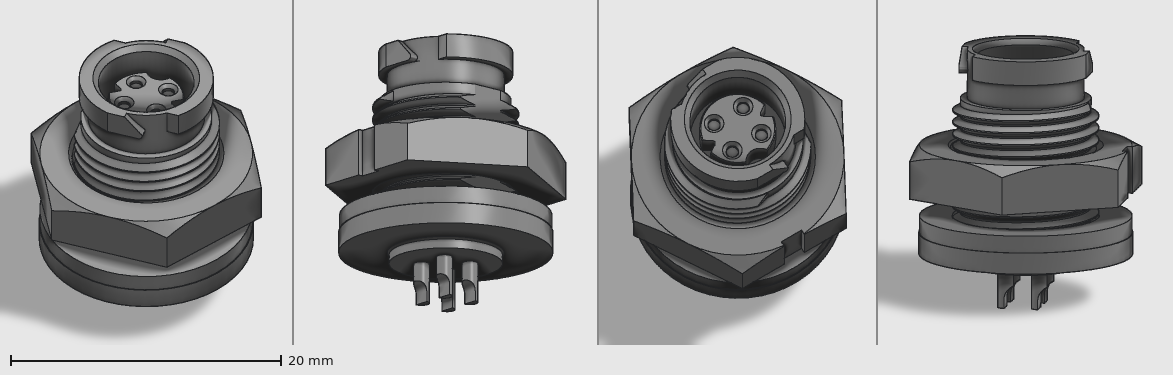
import cadquery as cq
import math

tail_length = 3.02
boss_top_z = 3.70
flange_bottom_z = 3.87
flange_top_z = 5.45
gasket_top_z = 6.72
nut_bottom_z = 8.52
nut_top_z = 12.04
barrel_top_z = 15.60
collar_bottom_z = 17.52
overall_height = 19.30

boss_radius = 4.20
flange_radius = 7.94
barrel_radius = 4.85
neck_radius = 4.335
collar_radius = 4.97
bore_radius = 3.54
mouth_chamfer = 0.41
barrel_flat_x = -4.68
collar_flat_y = 4.80

thread_crest_radius = 5.42
thread_pitch = 25.4 / 28
thread_turns = 10
thread_end_angle = 86
thread_end_z = 15.10
thread_crest_width = 0.10
thread_root_gap = 0.12
thread_embed = 0.06
runout_start_x = 0.42
runout_start_y = 4.84
runout_angle = 19
runout_length = 2.5

slot_ramp_top_x = 0.06
slot_tip_radius = 0.29
slot_end_y = 3.27
slot_end_x = 3.90
slot_reach = 6.0

bore_floor_z = barrel_top_z
insert_face_z = 17.55
insert_radius = 2.82
insert_chamfer = 0.09
key_radius = 1.06
key_center_y = 3.13
side_notch_tip_x = 1.86
side_notch_edge_x = 2.78
side_notch_half_width = 0.64
side_notch_fillet = 0.20
contact_offset = 1.27
contact_signs = [(-1, -1), (-1, 1), (1, -1), (1, 1)]
contact_points = [(i * contact_offset, j * contact_offset) for i, j in contact_signs]
socket_radius = 0.455
socket_rim_radius = 0.72
socket_depth = 0.50

tail_radius = 0.59
tail_scoop_radius = 0.95
tail_scoop_z = 0.71

gasket_radius = 7.88
gasket_hole_radius = 5.45
nut_across_corners = 18.18
nut_across_flats = nut_across_corners * math.cos(math.radians(30))
nut_chamfer_angle = 30
nut_mouth_radius = 5.75
nut_thread_root_radius = 5.56
nut_bore_radius = 5.08
nut_slot_width = 1.75
nut_slot_floor_y = 7.48


def disc(radius, bottom_z, top_z):
    return cq.Workplane("XY").workplane(offset=bottom_z).circle(radius).extrude(top_z - bottom_z)


def block(x_min, x_max, y_min, y_max, z_min, z_max):
    size = (x_max - x_min, y_max - y_min, z_max - z_min)
    return cq.Workplane("XY").box(*size, centered=False).translate((x_min, y_min, z_min))


def cone(radius_bottom, radius_top, bottom_z, top_z):
    solid = cq.Solid.makeCone(radius_bottom, radius_top, top_z - bottom_z, pnt=cq.Vector(0, 0, bottom_z))
    return cq.Workplane(obj=solid)


def helical_ridge(inner_radius, crest_radius):
    """Right-hand V ridge following the common helix of the barrel and nut threads."""
    rise = thread_pitch * thread_turns
    half_base = (thread_pitch - thread_root_gap) / 2
    half_crest = thread_crest_width / 2
    flank_slope = (half_base - half_crest) / (thread_crest_radius - barrel_radius)
    half_inner = half_crest + (crest_radius - inner_radius) * flank_slope
    profile = (
        cq.Workplane("XZ")
        .moveTo(inner_radius, -half_inner)
        .lineTo(crest_radius, -half_crest)
        .lineTo(crest_radius, half_crest)
        .lineTo(inner_radius, half_inner)
        .close()
    )
    helix = cq.Workplane(obj=cq.Wire.makeHelix(thread_pitch, rise, barrel_radius))
    ridge = profile.sweep(helix, isFrenet=True)
    return ridge.rotate((0, 0, 0), (0, 0, 1), thread_end_angle).translate((0, 0, thread_end_z - rise))


def make_thread():
    """Barrel thread: its lower end lies inside the gasket, its upper end is cut off obliquely."""
    thread = helical_ridge(barrel_radius - thread_embed, thread_crest_radius)
    runout = block(-runout_length, runout_length, 0, runout_length, -thread_pitch / 2, thread_pitch / 2)
    runout = runout.rotate((0, 0, 0), (0, 0, 1), runout_angle)
    return thread.cut(runout.translate((runout_start_x, runout_start_y, thread_end_z)))


def make_bayonet_slot():
    """Entry slot on the -Y side of the collar, with a rounded 45-degree ramp at its left end."""
    collar_height = overall_height - collar_bottom_z
    tooth = (
        cq.Workplane("XZ")
        .moveTo(0, overall_height)
        .lineTo(slot_ramp_top_x, overall_height)
        .lineTo(slot_ramp_top_x + collar_height, collar_bottom_z)
        .lineTo(0, collar_bottom_z)
        .close()
        .extrude(slot_reach)
        .edges("|Y and >X")
        .fillet(slot_tip_radius)
    )
    slot = block(0, slot_end_x, -slot_reach, -slot_end_y, collar_bottom_z, overall_height)
    return slot.cut(tooth).cut(disc(neck_radius, collar_bottom_z, overall_height))


def make_insert():
    """Keyed insert rising from the bore floor, with four countersunk sockets."""
    insert = disc(insert_radius, bore_floor_z, insert_face_z).faces(">Z").edges().chamfer(insert_chamfer)
    key = disc(key_radius, bore_floor_z, insert_face_z).translate((0, key_center_y, 0))
    insert = insert.cut(key)
    side_notch = (
        cq.Workplane("XY")
        .workplane(offset=bore_floor_z)
        .moveTo(side_notch_tip_x, 0)
        .lineTo(side_notch_edge_x, -side_notch_half_width)
        .lineTo(bore_radius, -side_notch_half_width)
        .lineTo(bore_radius, side_notch_half_width)
        .lineTo(side_notch_edge_x, side_notch_half_width)
        .close()
        .extrude(insert_face_z - bore_floor_z)
        .edges("|Z and <X")
        .fillet(side_notch_fillet)
    )
    insert = insert.cut(side_notch).cut(side_notch.mirror("YZ"))
    socket = disc(socket_radius, insert_face_z - socket_depth, insert_face_z)
    rim_depth = socket_rim_radius - socket_radius
    socket = socket.union(cone(socket_radius, socket_rim_radius, insert_face_z - rim_depth, insert_face_z))
    for x, y in contact_points:
        insert = insert.cut(socket.translate((x, y, 0)))
    return insert


def make_tail():
    """Solder tail whose +Y half is scooped away at the tip."""
    tail = disc(tail_radius, 0, tail_length)
    scoop = (
        cq.Workplane("YZ")
        .center(tail_scoop_radius, tail_scoop_z)
        .circle(tail_scoop_radius)
        .extrude(tail_radius, both=True)
    )
    tip = block(-tail_radius, tail_radius, 0, tail_radius, 0, tail_scoop_z)
    return tail.cut(scoop).cut(tip)


def make_connector():
    barrel = disc(barrel_radius, flange_top_z, barrel_top_z).union(make_thread())
    barrel = barrel.cut(
        block(-flange_radius, barrel_flat_x, -flange_radius, flange_radius, flange_top_z, barrel_top_z)
    )
    collar = disc(collar_radius, collar_bottom_z, overall_height).intersect(
        block(-collar_radius, collar_radius, -collar_flat_y, collar_flat_y, collar_bottom_z, overall_height)
    )
    slot = make_bayonet_slot()
    collar = collar.cut(slot).cut(slot.rotate((0, 0, 0), (0, 0, 1), 180))

    body = disc(boss_radius, tail_length, boss_top_z)
    body = body.union(cone(boss_radius, neck_radius, boss_top_z, flange_bottom_z))
    body = body.union(disc(flange_radius, flange_bottom_z, flange_top_z))
    body = body.union(barrel)
    body = body.union(disc(neck_radius, barrel_top_z, collar_bottom_z))
    body = body.union(collar)
    body = body.cut(disc(bore_radius, bore_floor_z, overall_height))
    mouth_bottom_z = overall_height - mouth_chamfer
    body = body.cut(cone(bore_radius, bore_radius + mouth_chamfer, mouth_bottom_z, overall_height))
    body = body.union(make_insert())
    tail = make_tail()
    for x, y in contact_points:
        body = body.union(tail.translate((x, y, 0)))
    return body


def make_gasket():
    return disc(gasket_radius, flange_top_z, gasket_top_z).cut(
        disc(gasket_hole_radius, flange_top_z, gasket_top_z)
    )


def make_nut():
    """Hex nut, chamfered on its top corners, with a countersunk threaded hole and a slot in the +Y flat."""
    height = nut_top_z - nut_bottom_z
    nut = cq.Workplane("XY").workplane(offset=nut_bottom_z).polygon(6, nut_across_corners).extrude(height)
    chamfer_base_radius = nut_across_flats / 2 + height / math.tan(math.radians(nut_chamfer_angle))
    nut = nut.intersect(cone(chamfer_base_radius, nut_across_flats / 2, nut_bottom_z, nut_top_z))
    mouth_depth = (nut_mouth_radius - nut_bore_radius) * math.tan(math.radians(nut_chamfer_angle))
    nut = nut.cut(cone(nut_bore_radius, nut_mouth_radius, nut_top_z - mouth_depth, nut_top_z))
    threaded_core = disc(nut_bore_radius, flange_top_z, barrel_top_z).union(
        helical_ridge(nut_bore_radius - thread_embed, nut_thread_root_radius)
    )
    nut = nut.cut(threaded_core)
    slot_half_width = nut_slot_width / 2
    slot = block(
        -slot_half_width, slot_half_width, nut_slot_floor_y, nut_across_flats, nut_bottom_z, nut_top_z
    )
    return nut.cut(slot)


connector = make_connector()
gasket = make_gasket()
nut = make_nut()

result = cq.Compound.makeCompound([connector.val(), gasket.val(), nut.val()])